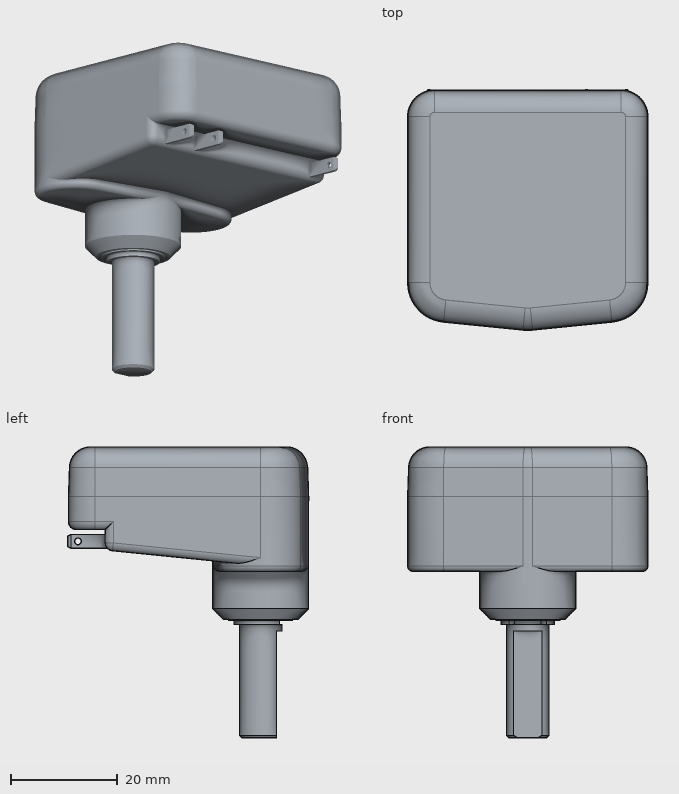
import cadquery as cq
import math


HOUSING_WIDTH = 45.0
HOUSING_BACK = 36.0
BACK_CORNER_RADIUS = 5.0
COLLAR_RADIUS = 9.0
SIDE_LOBE_RADIUS = 7.5
HALF_WIDTH = HOUSING_WIDTH / 2
SIDE_LOBE_X = HALF_WIDTH - SIDE_LOBE_RADIUS

TOP_Z = 32.5
LID_Z = 23.2
BACK_FLOOR_Z = 17.0
COLUMN_BOTTOM_Z = 9.2

LID_DRAFT = 2.0
LID_FILLET = 4.0

STEP_Y = 29.1
UNDERSIDE_SLOPE = 0.1
UNDERSIDE_Z_AT_AXIS = 10.25
UNDERSIDE_FILLET = 1.5
COLUMN_FILLET = 1.0

COLLAR_BOTTOM_Z = 0.2
COLLAR_CHAMFER = 2.0
PAD_RADIUS = 6.0

SHAFT_RADIUS = 4.0
SHAFT_END_Z = -22.0
SHAFT_CHAMFER = 0.5
FLAT_Y = -3.0
FLAT_TOP_Z = -2.0

GROOVE_RADIUS = 3.5
RING_RADIUS = 5.0
RING_THICKNESS = 0.8
RING_GAP_ANGLE = 90.0

TAB_XS = (-18.5, 11.0, 18.5)
TAB_TIP_Y = 36.12
TAB_BEVEL_LENGTH = 0.6
TAB_THICKNESS = 0.8
TAB_TIP_THICKNESS = 0.4
TAB_HEIGHT = 2.6
TAB_TIP_HEIGHT = 2.0
TAB_Z = 14.8
TAB_ROOT_Y = STEP_Y - UNDERSIDE_FILLET
TAB_HOLE_DIAMETER = 1.2
TAB_HOLE_Y = 34.2


def tangent_point(center_x, radius, y_sign):
    """Point where the line tangent to the collar and a side lobe touches one of those circles."""
    sine = (COLLAR_RADIUS - SIDE_LOBE_RADIUS) / SIDE_LOBE_X
    cosine = math.sqrt(1 - sine**2)
    return center_x + radius * sine, y_sign * radius * cosine


def mirrored(point):
    return -point[0], point[1]


FRONT_LOBE_POINT = tangent_point(SIDE_LOBE_X, SIDE_LOBE_RADIUS, -1)
FRONT_COLLAR_POINT = tangent_point(0, COLLAR_RADIUS, -1)
BACK_LOBE_POINT = tangent_point(SIDE_LOBE_X, SIDE_LOBE_RADIUS, 1)
BACK_COLLAR_POINT = tangent_point(0, COLLAR_RADIUS, 1)


def front_edge(sketch):
    """Continue a sketch from the left side at Y = 0, round the front, to the right side."""
    return (
        sketch.radiusArc(mirrored(FRONT_LOBE_POINT), -SIDE_LOBE_RADIUS)
        .lineTo(*mirrored(FRONT_COLLAR_POINT))
        .radiusArc(FRONT_COLLAR_POINT, -COLLAR_RADIUS)
        .lineTo(*FRONT_LOBE_POINT)
        .radiusArc((HALF_WIDTH, 0), -SIDE_LOBE_RADIUS)
    )


def housing_outline(z):
    corner_y = HOUSING_BACK - BACK_CORNER_RADIUS
    corner_x = HALF_WIDTH - BACK_CORNER_RADIUS
    sketch = cq.Workplane("XY").workplane(offset=z).moveTo(-HALF_WIDTH, 0)
    return (
        front_edge(sketch)
        .lineTo(HALF_WIDTH, corner_y)
        .radiusArc((corner_x, HOUSING_BACK), -BACK_CORNER_RADIUS)
        .lineTo(-corner_x, HOUSING_BACK)
        .radiusArc((-HALF_WIDTH, corner_y), -BACK_CORNER_RADIUS)
        .close()
    )


def lid():
    body = housing_outline(LID_Z).extrude(TOP_Z - LID_Z, taper=LID_DRAFT)
    return body.faces(">Z").edges().fillet(LID_FILLET)


def column():
    """Front part of the housing around the shaft axis."""
    sketch = cq.Workplane("XY").workplane(offset=COLUMN_BOTTOM_Z).moveTo(-HALF_WIDTH, 0)
    outline = (
        front_edge(sketch)
        .radiusArc(BACK_LOBE_POINT, -SIDE_LOBE_RADIUS)
        .lineTo(*BACK_COLLAR_POINT)
        .radiusArc(mirrored(BACK_COLLAR_POINT), -COLLAR_RADIUS)
        .lineTo(*mirrored(BACK_LOBE_POINT))
        .radiusArc((-HALF_WIDTH, 0), -SIDE_LOBE_RADIUS)
        .close()
    )
    body = outline.extrude(LID_Z - COLUMN_BOTTOM_Z)
    return body.faces("<Z").edges().fillet(COLUMN_FILLET)


def back_body():
    """Shallow rear part of the housing, above the connector tabs."""
    height = LID_Z - BACK_FLOOR_Z
    body = (
        cq.Workplane("XY")
        .box(HOUSING_WIDTH, HOUSING_BACK, height, centered=(True, False, False))
        .translate((0, 0, BACK_FLOOR_Z))
    )
    body = body.edges("|Z and >Y").fillet(BACK_CORNER_RADIUS)
    return body.faces("<Z").edges("not(<Y)").fillet(UNDERSIDE_FILLET)


def sloped_body():
    """Deep middle part of the housing, with an underside that drops towards the shaft."""
    profile = [
        (0, LID_Z),
        (STEP_Y, LID_Z),
        (STEP_Y, UNDERSIDE_Z_AT_AXIS + UNDERSIDE_SLOPE * STEP_Y),
        (0, UNDERSIDE_Z_AT_AXIS),
    ]
    body = cq.Workplane("YZ").polyline(profile).close().extrude(HALF_WIDTH, both=True)
    underside = body.faces("<Z").edges("not(<Y)")
    step_sides = body.edges("|Z and >Y")
    return underside.add(step_sides).fillet(UNDERSIDE_FILLET)


def cylinder(radius, bottom_z, top_z):
    return cq.Workplane("XY").workplane(offset=bottom_z).circle(radius).extrude(top_z - bottom_z)


def collar():
    body = cylinder(COLLAR_RADIUS, COLLAR_BOTTOM_Z, LID_Z).rotate((0, 0, 0), (0, 0, 1), 90)
    body = body.faces("<Z").chamfer(COLLAR_CHAMFER)
    return body.union(cylinder(PAD_RADIUS, 0, COLLAR_BOTTOM_Z))


def shaft():
    body = cylinder(SHAFT_RADIUS, SHAFT_END_Z, -RING_THICKNESS)
    body = body.faces("<Z").chamfer(SHAFT_CHAMFER)
    flat_cut = (
        cq.Workplane("XY")
        .box(2 * SHAFT_RADIUS, SHAFT_RADIUS, FLAT_TOP_Z - SHAFT_END_Z, centered=(True, False, False))
        .translate((0, FLAT_Y - SHAFT_RADIUS, SHAFT_END_Z))
    )
    return body.cut(flat_cut).union(cylinder(GROOVE_RADIUS, -RING_THICKNESS, 0))


def retaining_ring():
    """Open ring in the shaft groove; its gap faces -Y and has radial ends."""
    reach = 2 * RING_RADIUS
    half_gap = reach * math.tan(math.radians(RING_GAP_ANGLE / 2))
    gap = (
        cq.Workplane("XY")
        .workplane(offset=-RING_THICKNESS)
        .polyline([(0, 0), (-half_gap, -reach), (half_gap, -reach)])
        .close()
        .extrude(RING_THICKNESS)
    )
    ring = cylinder(RING_RADIUS, -RING_THICKNESS, 0).cut(gap)
    return ring.cut(cylinder(GROOVE_RADIUS, -RING_THICKNESS, 0))


def tab(x):
    """Flat connector tab with a bevelled tip and a cross hole."""
    bevel_y = TAB_TIP_Y - TAB_BEVEL_LENGTH
    blade = (
        cq.Workplane("XY")
        .box(TAB_THICKNESS, bevel_y - TAB_ROOT_Y, TAB_HEIGHT, centered=(True, False, True))
        .translate((0, TAB_ROOT_Y, 0))
    )
    tip = (
        cq.Workplane("XZ", origin=(0, bevel_y, 0))
        .rect(TAB_THICKNESS, TAB_HEIGHT)
        .workplane(offset=-TAB_BEVEL_LENGTH)
        .rect(TAB_TIP_THICKNESS, TAB_TIP_HEIGHT)
        .loft()
    )
    hole = (
        cq.Workplane("YZ")
        .center(TAB_HOLE_Y, 0)
        .circle(TAB_HOLE_DIAMETER / 2)
        .extrude(TAB_THICKNESS, both=True)
    )
    return blade.union(tip).cut(hole).translate((x, 0, TAB_Z))


result = column().union(collar())
for section in (back_body(), sloped_body(), lid(), shaft(), retaining_ring()):
    result = result.union(section)
for tab_x in TAB_XS:
    result = result.union(tab(tab_x))